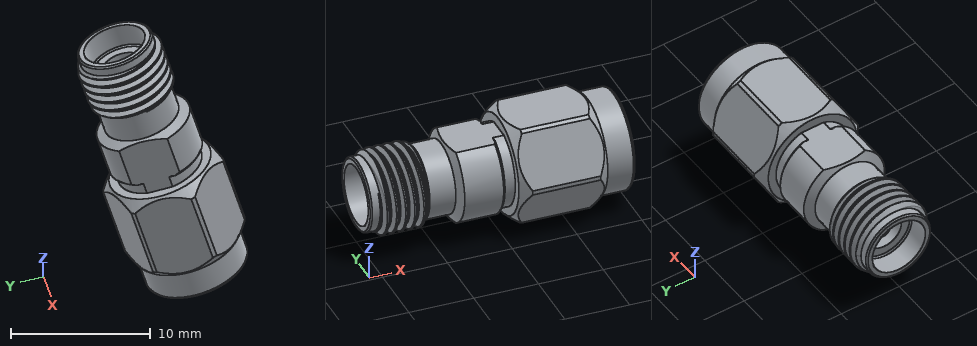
import cadquery as cq
import math


total_length = 20.0
collar_start = 6.55
collar_end = 10.15
nut_start = 11.0
nut_end = 17.85

barrel_radius = 5.58 / 2
barrel_chamfer = 0.12

collar_radius = 7.0 / 2
collar_lead_length = 0.4
collar_back_chamfer = 0.18
neck_radius = 6.3 / 2
across_wrench_flats = 6.0

sleeve_radius = 7.65 / 2
sleeve_chamfer_length = 0.15
sleeve_chamfer_depth = 0.12
across_nut_flats = 7.95
nut_corner_radius = 8.98 / 2
nut_chamfer_length = 0.8

thread_pitch = 12.0 / 17
thread_radius = 6.35 / 2
thread_crest_width = 0.15
thread_start = 0.72
thread_end = 4.55
thread_crest_at = 0.65
thread_half_angle = math.radians(30)
thread_root_overlap = 0.05

bore_radius = 4.58 / 2
bore_floor_radius = 4.35 / 2
bore_floor_at = 1.85
bore_floor_chamfer = bore_radius - bore_floor_radius
hole_radius = 2.92 / 2
hole_end = 4.0
contact_setback = 0.15
contact_radius = 1.2 / 2
contact_bore_radius = 0.95 / 2


def turned(profile):
    """Solid of revolution about X from (x, radius) points, closed along the axis."""
    points = [(profile[0][0], 0), *profile, (profile[-1][0], 0)]
    return cq.Workplane("XY").polyline(points).close().revolve(360, (0, 0, 0), (1, 0, 0))


def cylinder(radius, start, end):
    return turned([(start, radius), (end, radius)])


def make_barrel():
    return turned([
        (0, barrel_radius - barrel_chamfer),
        (barrel_chamfer, barrel_radius),
        (collar_start, barrel_radius),
    ])


def make_thread():
    """Helical ridge, tapered at 45 degrees to the barrel at both ends."""
    root_radius = barrel_radius - thread_root_overlap
    crest_half = thread_crest_width / 2
    root_half = crest_half + (thread_radius - root_radius) * math.tan(thread_half_angle)

    ridge_start = thread_crest_at - thread_pitch
    ridge_length = thread_end + thread_pitch - ridge_start
    ridge_profile = [
        (root_radius, -root_half),
        (thread_radius, -crest_half),
        (thread_radius, crest_half),
        (root_radius, root_half),
    ]
    edges = [
        cq.Wire.makeHelix(thread_pitch, ridge_length, radius).translate(cq.Vector(0, 0, offset))
        for radius, offset in ridge_profile
    ]
    flanks = [
        cq.Face.makeRuledSurface(edge, next_edge)
        for edge, next_edge in zip(edges, edges[1:] + edges[:1])
    ]
    end_outlines = [
        [edge.startPoint() for edge in edges],
        [edge.endPoint() for edge in edges],
    ]
    end_caps = [
        cq.Face.makeFromWires(cq.Wire.makePolygon(outline, close=True))
        for outline in end_outlines
    ]
    ridge = (
        cq.Workplane(cq.Solid.makeSolid(cq.Shell.makeShell(flanks + end_caps)))
        .rotate((0, 0, 0), (0, 1, 0), 90)
        .translate((ridge_start, 0, 0))
    )

    envelope_rise = 2 * (thread_radius - barrel_radius)
    envelope = turned([
        (thread_start - thread_root_overlap, root_radius),
        (thread_start + envelope_rise, barrel_radius + envelope_rise),
        (thread_end - envelope_rise, barrel_radius + envelope_rise),
        (thread_end + thread_root_overlap, root_radius),
    ])
    return ridge.intersect(envelope)


def make_collar_and_neck():
    body = turned([
        (collar_start, barrel_radius),
        (collar_start + collar_lead_length, collar_radius),
        (collar_end - collar_back_chamfer, collar_radius),
        (collar_end, collar_radius - collar_back_chamfer),
        (collar_end, neck_radius),
        (nut_start, neck_radius),
    ])
    flats_length = nut_start - collar_start
    flats = (
        cq.Workplane("XY")
        .box(flats_length, 2 * collar_radius, across_wrench_flats)
        .translate((collar_start + flats_length / 2, 0, 0))
    )
    return body.intersect(flats)


def make_nut():
    """Hexagon with flats facing +Z and -Z, conically chamfered at both ends."""
    across_corners = across_nut_flats / math.cos(math.radians(30))
    hexagon = (
        cq.Workplane("YZ", origin=(nut_start, 0, 0))
        .polygon(6, across_corners)
        .extrude(nut_end - nut_start)
    )
    envelope = turned([
        (nut_start, sleeve_radius),
        (nut_start + nut_chamfer_length, nut_corner_radius),
        (nut_end - nut_chamfer_length, nut_corner_radius),
        (nut_end, sleeve_radius),
    ])
    return hexagon.intersect(envelope)


def make_sleeve():
    return turned([
        (nut_end, sleeve_radius),
        (total_length - sleeve_chamfer_length, sleeve_radius),
        (total_length, sleeve_radius - sleeve_chamfer_depth),
    ])


def make_socket_cut():
    bore = turned([
        (0, bore_radius),
        (bore_floor_at - bore_floor_chamfer, bore_radius),
        (bore_floor_at, bore_floor_radius),
    ])
    hole = cylinder(hole_radius, bore_floor_at, hole_end)
    contact = cylinder(contact_radius, bore_floor_at + contact_setback, hole_end)
    contact_bore = cylinder(contact_bore_radius, bore_floor_at, hole_end)
    return bore.union(hole.cut(contact)).union(contact_bore)


result = (
    make_barrel()
    .union(make_collar_and_neck())
    .union(make_nut())
    .union(make_sleeve())
    .union(make_thread())
    .cut(make_socket_cut())
)